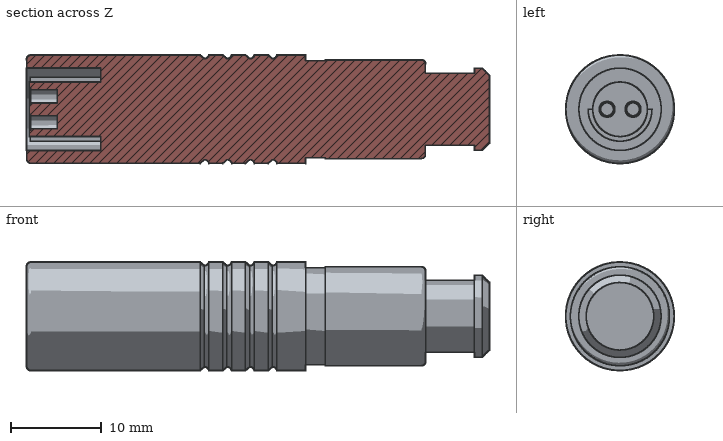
import cadquery as cq

length = 51.0
body_radius = 5.99
body_end = 30.75
front_fillet = 0.5

groove_count = 4
groove_start = 19.1
groove_pitch = 2.5
groove_flank = 0.45
groove_depth = 0.4
groove_arc_width = 0.5

neck_radius = 5.35
neck_end = 32.9
barrel_radius = 5.45
barrel_end = 43.95
barrel_fillet = 0.45
stem_radius = 4.0
flange_radius = 4.55
flange_start = 49.3
flange_chamfer = 0.8

bore_radius = 4.55
bore_depth = 8.15
core_radius = 3.0
core_recess = 0.3
shell_radius = 3.5
shell_recess = 0.4
contact_offset = 1.45
contact_radius = 0.85
contact_hole_radius = 0.7
contact_recess = 0.15
contact_hole_depth = 3.05


def cylinder(start, end, radius):
    """Cylinder on the X axis between two positions."""
    return cq.Workplane("YZ", origin=(start, 0, 0)).circle(radius).extrude(end - start)


def groove_cutter(start):
    """Ring with the groove section, from its bottom out to the body surface."""
    bottom = start + groove_flank
    end = bottom + groove_arc_width
    floor_radius = body_radius - groove_depth
    arc_radius = (groove_arc_width**2 + groove_depth**2) / (2 * groove_depth)
    mid_x = groove_arc_width / 2
    mid_rise = arc_radius - (arc_radius**2 - mid_x**2) ** 0.5
    return (
        cq.Workplane("XY")
        .moveTo(start, body_radius)
        .lineTo(bottom, floor_radius)
        .threePointArc((bottom + mid_x, floor_radius + mid_rise), (end, body_radius))
        .close()
        .revolve(360, (0, 0, 0), (1, 0, 0))
    )


def make_body():
    front = cylinder(0, body_end, body_radius).faces("<X").edges().fillet(front_fillet)
    for index in range(groove_count):
        front = front.cut(groove_cutter(groove_start + index * groove_pitch))
    neck = cylinder(body_end, neck_end, neck_radius)
    barrel = cylinder(neck_end, barrel_end, barrel_radius).faces(">X").edges().fillet(barrel_fillet)
    stem = cylinder(barrel_end, flange_start, stem_radius)
    flange = cylinder(flange_start, length, flange_radius).faces(">X").edges().chamfer(flange_chamfer)
    return front.union(neck).union(barrel).union(stem).union(flange)


def make_insert():
    """Round core with a half shell around its lower side and two contact sockets."""
    core = cylinder(core_recess, bore_depth, core_radius)
    lower_half = cq.Workplane("XY").box(
        length, 2 * shell_radius, shell_radius, centered=(False, True, False)
    ).translate((0, 0, -shell_radius))
    shell = cylinder(shell_recess, bore_depth, shell_radius).intersect(lower_half)
    insert = core.union(shell)
    for y in (-contact_offset, contact_offset):
        seat = cylinder(core_recess, core_recess + contact_recess, contact_radius)
        hole = cylinder(core_recess, core_recess + contact_hole_depth, contact_hole_radius)
        insert = insert.cut(seat.union(hole).translate((0, y, 0)))
    return insert


socket = cylinder(0, bore_depth, bore_radius)
result = make_body().cut(socket).union(make_insert())